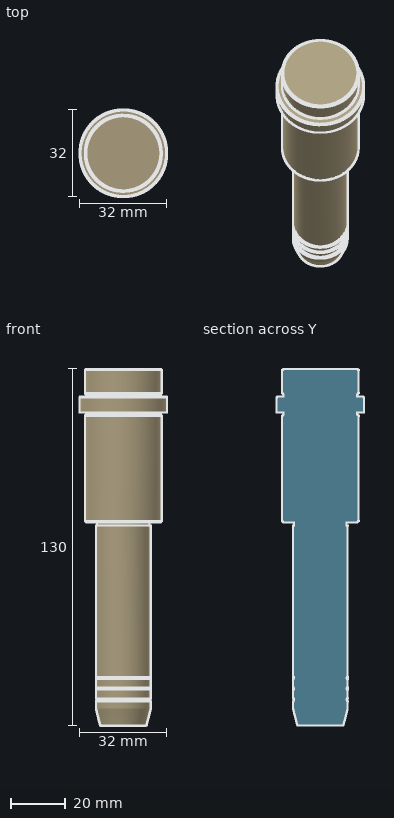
import cadquery as cq

length = 130.0
collar_radius = 16.0
body_radius = 14.0
shank_radius = 10.0
tip_radius = 8.5

collar_top = 120.0
collar_bottom = 114.0
body_bottom = 74.0
taper_height = 6.1

head_chamfer = 0.5
collar_chamfer = 0.4
body_chamfer = 0.6
tip_fillet = 0.5
relief_width = 1.2
relief_depth = 0.5
neck_height = 1.0
neck_depth = 0.4

groove_width = 0.8
groove_depth = 0.4
lowest_groove = 9.2
groove_pitch = 3.9
groove_count = 3
lowest_groove_extension = 0.4


def cylinder(radius, bottom, top):
    return cq.Workplane("XY").workplane(offset=bottom).circle(radius).extrude(top - bottom)


def ring_groove(radius, depth, bottom, width):
    """Square-sided ring to cut into a cylinder of the given radius."""
    clearance = 0.1
    outer = cylinder(radius + clearance, bottom, bottom + width)
    return outer.cut(cylinder(radius - depth, bottom, bottom + width))


def revolved(profile):
    """Solid of revolution about Z from (radius, height) points."""
    return cq.Workplane("XZ").polyline(profile).close().revolve(360, (0, 0), (0, 1))


def relief(collar_face, direction):
    """Relief starting at a collar face: a straight floor, then a slope out to the body surface."""
    floor_radius = body_radius - relief_depth
    return revolved([
        (body_radius, collar_face),
        (floor_radius, collar_face),
        (floor_radius, collar_face + direction * relief_width / 2),
        (body_radius, collar_face + direction * relief_width),
    ])


body = cylinder(body_radius, body_bottom, length)
body = body.faces(">Z").chamfer(head_chamfer)
body = body.faces("<Z").chamfer(body_chamfer)
body = body.cut(relief(collar_top, 1)).cut(relief(collar_bottom, -1))

collar = cylinder(collar_radius, collar_bottom, collar_top)
collar = collar.faces(">Z").chamfer(collar_chamfer)

tip = (
    cq.Workplane("XY").circle(tip_radius)
    .workplane(offset=taper_height).circle(shank_radius)
    .loft(ruled=True)
)
tip = tip.faces("<Z").edges().fillet(tip_fillet)
shank = cylinder(shank_radius, taper_height, body_bottom).union(tip)

shank = shank.cut(ring_groove(shank_radius, neck_depth, body_bottom - neck_height, neck_height))

for index in range(groove_count):
    groove_bottom = lowest_groove + index * groove_pitch
    extension = lowest_groove_extension if index == 0 else 0
    groove_profile = [
        (shank_radius, groove_bottom - extension),
        (shank_radius - groove_depth, groove_bottom + groove_width / 2),
        (shank_radius, groove_bottom + groove_width),
    ]
    shank = shank.cut(revolved(groove_profile))

result = body.union(collar).union(shank)